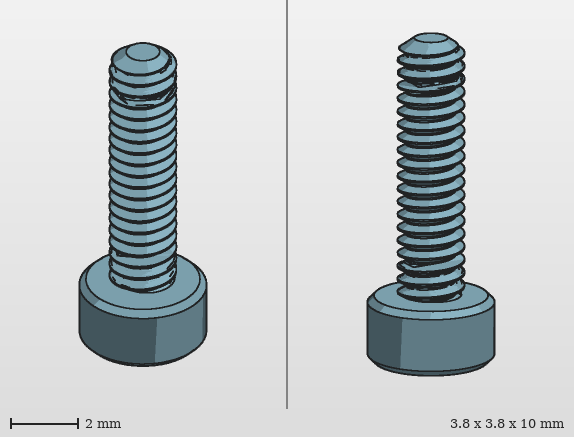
import cadquery as cq

head_diameter = 3.8
head_height = 2.0
head_chamfer = 0.2
thread_diameter = 2.0
thread_pitch = 0.4
shank_length = 8.0
tip_diameter = 1.0
tip_height = 0.36

root_diameter = 1.48
crest_width = thread_pitch / 8
root_width = thread_pitch / 8
ridge_embed = 0.02
ridge_start_height = 1.483

thread_radius = thread_diameter / 2
root_radius = root_diameter / 2
screw_height = head_height + shank_length


def make_head():
    """Plain round head, chamfered on both rims."""
    head = cq.Workplane("XY").circle(head_diameter / 2).extrude(head_height)
    return head.faces("|Z").chamfer(head_chamfer)


def ridge_helix(radius, height):
    """Helix of the ridge's length, starting on the +X side at the given height."""
    ridge_length = screw_height + thread_pitch - ridge_start_height
    return cq.Wire.makeHelix(thread_pitch, ridge_length, radius, cq.Vector(0, 0, height))


def make_ridge():
    """Right-hand helical ridge that overruns both ends of the shank."""
    flank_slope = (thread_pitch - crest_width - root_width) / (thread_diameter - root_diameter)
    half_crest = crest_width / 2
    embedded_radius = root_radius - ridge_embed
    half_base = half_crest + flank_slope * (thread_radius - embedded_radius)
    helices = [
        ridge_helix(radius, ridge_start_height + offset)
        for radius, offset in (
            (embedded_radius, -half_base),
            (thread_radius, -half_crest),
            (thread_radius, half_crest),
            (embedded_radius, half_base),
        )
    ]
    sides = [cq.Face.makeRuledSurface(helices[i - 1], helices[i]) for i in range(len(helices))]
    start, end = 0, 1
    ends = [
        cq.Face.makeFromWires(cq.Wire.makePolygon([helix.positionAt(t) for helix in helices], close=True))
        for t in (start, end)
    ]
    shell = cq.Shell.makeShell(cq.Compound.makeCompound(sides + ends).Faces())
    return cq.Workplane(cq.Solid.makeSolid(shell))


def make_shank_envelope():
    """Outer limit of the shank: a cylinder with a conical tip."""
    return (
        cq.Workplane("XZ")
        .moveTo(0, head_height)
        .lineTo(thread_radius, head_height)
        .lineTo(thread_radius, screw_height - tip_height)
        .lineTo(tip_diameter / 2, screw_height)
        .lineTo(0, screw_height)
        .close()
        .revolve(360, (0, 0, 0), (0, 1, 0))
    )


def make_shank():
    """Core, overlong at both ends, fused with the ridge and trimmed to the shank envelope."""
    core = cq.Workplane("XY").circle(root_radius).extrude(screw_height + head_height)
    return core.union(make_ridge()).intersect(make_shank_envelope())


result = make_head().union(make_shank())